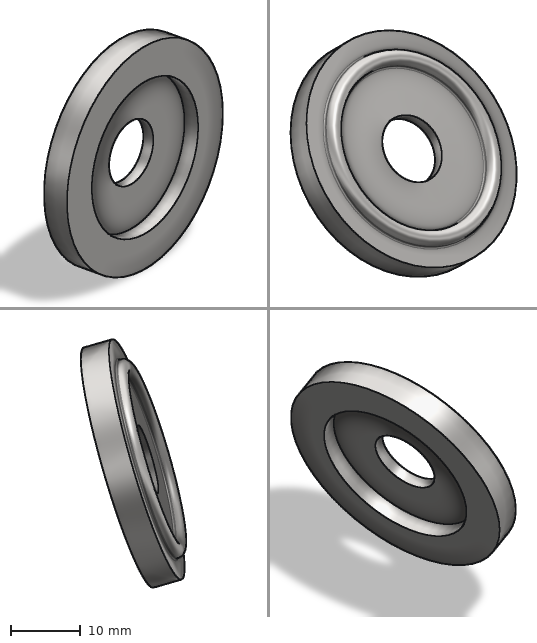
import cadquery as cq

outer_diameter = 36.0
bore_diameter = 10.2
overall_thickness = 5.8
bead_height = 1.55
bead_radius = 1.2
bead_pitch_radius = 13.7
foot_radius = 0.25
crown_height = 0.15
web_thickness = 1.87

outer_radius = outer_diameter / 2
bore_radius = bore_diameter / 2
back_x = overall_thickness / 2
crest_x = -back_x
face_x = crest_x + bead_height
bead_centre_x = crest_x + bead_radius
foot_centre_x = face_x - foot_radius
bead_inner_radius = bead_pitch_radius - bead_radius
bead_outer_radius = bead_pitch_radius + bead_radius
foot_inner_radius = bead_inner_radius - foot_radius
foot_outer_radius = bead_outer_radius + foot_radius
recess_radius = foot_inner_radius
bore_front_x = face_x - crown_height
recess_floor_x = bore_front_x + web_thickness


def half_section():
    """Section in the XY plane, with Y as the distance from the axis."""
    diagonal = foot_radius * 0.5 ** 0.5
    return (
        cq.Workplane("XY")
        .moveTo(recess_floor_x, bore_radius)
        .lineTo(recess_floor_x, recess_radius)
        .lineTo(back_x, recess_radius)
        .lineTo(back_x, outer_radius)
        .lineTo(face_x, outer_radius)
        .lineTo(face_x, foot_outer_radius)
        .threePointArc(
            (foot_centre_x + diagonal, foot_outer_radius - diagonal),
            (foot_centre_x, bead_outer_radius),
        )
        .lineTo(bead_centre_x, bead_outer_radius)
        .threePointArc((crest_x, bead_pitch_radius), (bead_centre_x, bead_inner_radius))
        .lineTo(foot_centre_x, bead_inner_radius)
        .threePointArc(
            (foot_centre_x + diagonal, foot_inner_radius + diagonal),
            (face_x, foot_inner_radius),
        )
        .lineTo(bore_front_x, bore_radius)
        .close()
    )


result = half_section().revolve(360, (0, 0, 0), (1, 0, 0))